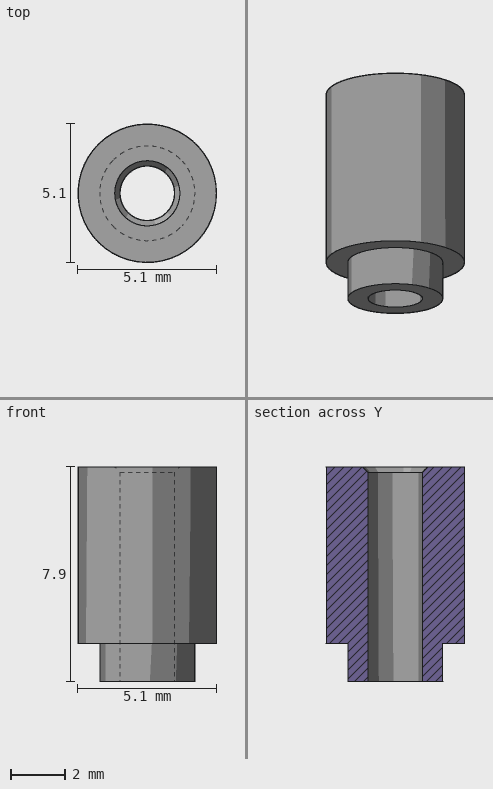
import cadquery as cq

body_diameter = 5.1
total_height = 7.9
spigot_diameter = 3.5
spigot_height = 1.4
bore_diameter = 2.0
bore_chamfer = 0.2

body_height = total_height - spigot_height


def make_spacer_blank():
    """Stepped cylinder: a narrow spigot at the bottom, the wide body above it."""
    spigot = cq.Workplane("XY").circle(spigot_diameter / 2).extrude(spigot_height)
    return spigot.faces(">Z").workplane().circle(body_diameter / 2).extrude(body_height)


def cut_bore(blank):
    """Through bore along Z with a countersunk rim at the top."""
    bored = blank.faces(">Z").workplane().hole(bore_diameter)
    top_bore_rim = bored.faces(">Z").edges(cq.selectors.RadiusNthSelector(0))
    return bored.newObject(top_bore_rim.vals()).chamfer(bore_chamfer)


result = cut_bore(make_spacer_blank())